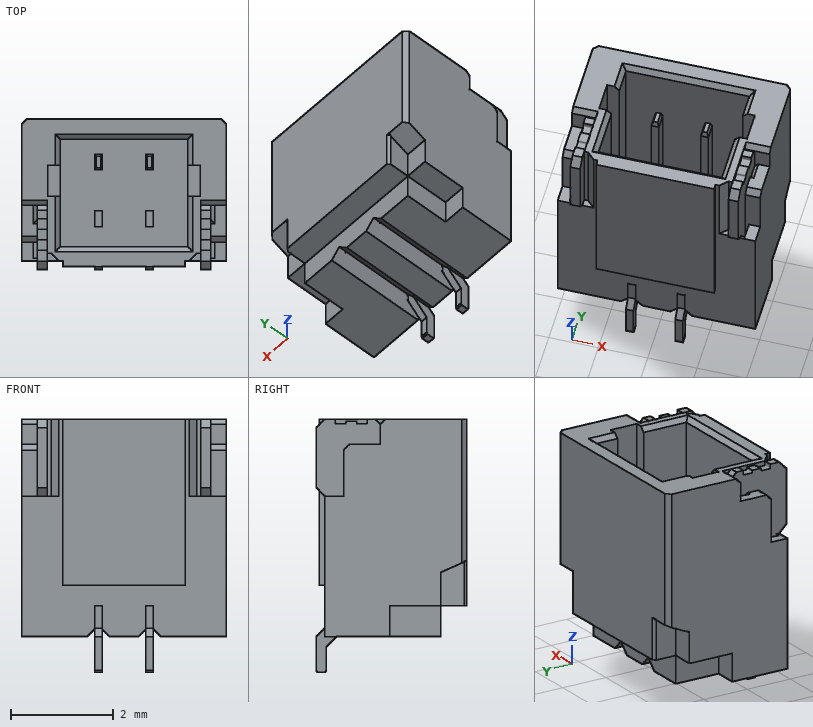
import cadquery as cq
import math


width = 4.0
half_width = width / 2
depth = 2.78
height = 4.25
back_chamfer = 0.1

pad_half_width = 1.195
pad_thickness = 0.11
floor_z = 1.0

cavity_half_width = 1.245
cavity_front = 0.28
cavity_back = 2.385
rim_chamfer = 0.1
key_half_width = 1.495
key_front = 1.27
key_back = 1.875
key_depth = 2.5

foot_half_width = 1.5
wing_back = 2.27
wing_bottom_z = 0.6
wing_slope_low_z = 1.255
wing_slope_high_z = 1.485
foot_recess_front = 1.275
rear_corner_chamfer = 0.055

tab_inner = 1.5
tab_thickness = 0.2
tab_outer = tab_inner + tab_thickness
tab_reach = 0.17
tab_back_chamfer = 0.1
leg_front = 0.055
leg_depth = 0.5
notch_back = 1.09
notch_entry_chamfer = 0.1
shelf_z = height - 0.49
shelf_front = 0.37
shelf_chamfer = 0.115
notch_floor_z = height - 1.505
relief_depth = 0.15
relief_corner = 1.42
relief_inner = relief_corner - relief_depth
slot_clearance = 0.075
lead_in_front = 0.735

tooth_front = 0.21
tooth_pitch = 0.21
tooth_depth = 0.095
tooth_fillet = 0.025
middle_tooth_drop = 0.04

contact_pitch = 1.0
contact_width = 0.155
contact_thickness = 0.205
leg_reach = 0.17
overall_height = 4.95
leg_tip_z = height - overall_height
leg_tip_chamfer_y = 0.02
leg_tip_chamfer_z = 0.04
crank_back = 0.24
bar_bottom_z = 0.22
bar_top_z = 0.6
anchor_front = 0.675
anchor_back = 0.985
post_front = 1.785
post_back = 2.09
post_top_z = 3.48
post_tip_height = 0.1
post_tip_inset = 0.035
groove_half_width = 0.22

contact_xs = [-contact_pitch / 2, contact_pitch / 2]
sides = [-1, 1]


def block(x0, x1, y0, y1, z0, z1):
    """Box between two opposite corners."""
    return cq.Workplane("XY").box(x1 - x0, y1 - y0, z1 - z0, centered=False).translate((x0, y0, z0))


def side_profile(points, x0, x1):
    """Outline of (Y, Z) points, extruded along X from x0 to x1."""
    return cq.Workplane("YZ").workplane(offset=x0).polyline(points).close().extrude(x1 - x0)


def plan_profile(points, z0, z1):
    """Outline of (X, Y) points, extruded along Z from z0 to z1."""
    return cq.Workplane("XY").workplane(offset=z0).polyline(points).close().extrude(z1 - z0)


def on_side(shape, side):
    """A shape modelled on the +X side, mirrored when it belongs on the -X side."""
    return shape if side > 0 else shape.mirror("YZ")


def make_tab():
    """Hold-down tab of the +X side: hooked plate with a toothed top and a leg in the housing."""
    outline = [
        (0, notch_floor_z),
        (-tab_reach, notch_floor_z + tab_reach),
        (-tab_reach, height - tab_reach),
        (0, height),
        (notch_back - tab_back_chamfer, height),
        (notch_back, height - tab_back_chamfer),
        (notch_back, notch_floor_z - leg_depth),
        (leg_front, notch_floor_z - leg_depth),
        (leg_front, notch_floor_z),
    ]
    tab = side_profile(outline, tab_inner, tab_outer)
    drops = [tooth_depth, middle_tooth_drop, tooth_depth]
    for step, drop in enumerate(drops):
        step_front = tooth_front + step * tooth_pitch
        step_back = step_front + tooth_pitch
        tab = tab.cut(block(tab_inner, tab_outer, step_front, step_back, height - drop, height))
    wall_ys = [tooth_front + wall * tooth_pitch for wall in range(len(drops) + 1)]
    rounded = [(wall_y, height - tooth_depth) for wall_y in wall_ys]
    rounded.append((wall_ys[1], height - middle_tooth_drop))
    for edge_y, edge_z in rounded:
        middle_x = (tab_inner + tab_outer) / 2
        nearest = cq.selectors.NearestToPointSelector((middle_x, edge_y, edge_z))
        tab = tab.edges(nearest).fillet(tooth_fillet)
    return tab


def make_contact():
    """Contact at X = 0: cranked solder leg, buried bar with an anchor stub, and mating post."""
    leg_back = contact_thickness - leg_reach
    outline = [
        (-leg_reach + leg_tip_chamfer_y, leg_tip_z),
        (-leg_reach, leg_tip_z + leg_tip_chamfer_z),
        (-leg_reach, 0),
        (0, leg_reach),
        (0, bar_top_z),
        (anchor_front, bar_top_z),
        (anchor_front, floor_z),
        (anchor_back, floor_z),
        (anchor_back, bar_top_z),
        (post_front, bar_top_z),
        (post_front, post_top_z - post_tip_height),
        (post_back, post_top_z - post_tip_height),
        (post_back, bar_bottom_z),
        (bar_bottom_z + crank_back, bar_bottom_z),
        (leg_back, leg_back - crank_back),
        (leg_back, leg_tip_z + leg_tip_chamfer_z),
        (leg_back - leg_tip_chamfer_y, leg_tip_z),
    ]
    contact = side_profile(outline, -contact_width / 2, contact_width / 2)
    taper = math.degrees(math.atan(post_tip_inset / post_tip_height))
    tip = (
        cq.Workplane("XY", origin=(0, (post_front + post_back) / 2, post_top_z - post_tip_height))
        .rect(contact_width, post_back - post_front)
        .extrude(post_tip_height, taper=taper)
    )
    return contact.union(tip)


def make_shell():
    """Outer block with chamfered rear corners and the raised pad on the front face."""
    shell = block(-half_width, half_width, 0, depth, 0, height)
    shell = shell.edges("|Z and >Y").chamfer(back_chamfer)
    pad = block(-pad_half_width, pad_half_width, -pad_thickness, 0, floor_z, height)
    return shell.union(pad)


def make_cavity():
    """Mating cavity with a chamfered rim and a key slot in each side wall."""
    cavity = block(-cavity_half_width, cavity_half_width, cavity_front, cavity_back, floor_z, height)
    rim = (
        cq.Workplane("XY", origin=(0, (cavity_front + cavity_back) / 2, height))
        .rect(2 * (cavity_half_width + rim_chamfer), cavity_back - cavity_front + 2 * rim_chamfer)
        .extrude(-rim_chamfer, taper=45)
    )
    keys = block(-key_half_width, key_half_width, key_front, key_back, height - key_depth, height)
    return cavity.union(rim).union(keys)


def make_rear_undercut():
    """Space below the rear of the housing, behind the foot."""
    return block(-half_width, half_width, wing_back, depth, 0, wing_bottom_z)


def make_wing_undercut():
    """Space cut from the +X side beside the rear centre block and beside the foot."""
    wing = side_profile(
        [
            (wing_back, wing_bottom_z),
            (depth, wing_bottom_z),
            (depth, wing_slope_high_z),
            (wing_back, wing_slope_low_z),
        ],
        foot_half_width,
        half_width,
    )
    rear_corner = plan_profile(
        [
            (foot_half_width, depth),
            (foot_half_width, depth - rear_corner_chamfer),
            (foot_half_width - rear_corner_chamfer, depth),
        ],
        wing_bottom_z,
        wing_slope_high_z,
    )
    foot_side = block(foot_half_width, half_width, foot_recess_front, wing_back, 0, wing_bottom_z)
    return wing.union(rear_corner).union(foot_side)


def make_tab_notch():
    """Stepped notch around the +X tab, with the relief in the front wall beside it."""
    notch = side_profile(
        [
            (0, notch_floor_z),
            (shelf_front, notch_floor_z),
            (shelf_front, shelf_z - shelf_chamfer),
            (shelf_front + shelf_chamfer, shelf_z),
            (notch_back, shelf_z),
            (notch_back, height - notch_entry_chamfer),
            (notch_back + notch_entry_chamfer, height),
            (0, height),
        ],
        tab_inner,
        half_width,
    )
    relief = plan_profile(
        [(relief_inner, 0), (relief_corner, relief_depth), (tab_inner, relief_depth), (tab_inner, 0)],
        notch_floor_z,
        height,
    )
    return notch.union(relief)


def make_tab_clearance():
    """Pocket beside the leg of the +X tab, and the sloped lead-in sunk into the shelf."""
    pocket_outer = tab_outer + slot_clearance
    pocket = block(
        tab_inner, pocket_outer, leg_front, shelf_front, notch_floor_z - leg_depth, notch_floor_z
    )
    lead_in_z = shelf_z - slot_clearance
    lead_in = side_profile(
        [
            (lead_in_front, shelf_z),
            (lead_in_front + slot_clearance, lead_in_z),
            (notch_back, lead_in_z),
            (notch_back, shelf_z),
        ],
        tab_outer,
        pocket_outer,
    )
    outer_slope = (
        cq.Workplane("XZ")
        .polyline([(tab_outer, shelf_z), (pocket_outer, shelf_z), (tab_outer, lead_in_z)])
        .close()
        .extrude(-notch_back)
    )
    return pocket.union(lead_in.intersect(outer_slope))


def make_groove():
    """V groove along the underside at X = 0."""
    return (
        cq.Workplane("XZ")
        .polyline([(-groove_half_width, 0), (0, groove_half_width), (groove_half_width, 0)])
        .close()
        .extrude(-depth)
    )


tabs = [on_side(make_tab(), side) for side in sides]
contacts = [make_contact().translate((x, 0, 0)) for x in contact_xs]

housing = make_shell().cut(make_cavity()).cut(make_rear_undercut())
for side in sides:
    housing = housing.cut(on_side(make_wing_undercut(), side))
    housing = housing.cut(on_side(make_tab_notch(), side))
    housing = housing.cut(on_side(make_tab_clearance(), side))
for x in contact_xs:
    housing = housing.cut(make_groove().translate((x, 0, 0)))
for insert in tabs + contacts:
    housing = housing.cut(insert)

result = cq.Compound.makeCompound([body.solids().val() for body in [housing, *tabs, *contacts]])